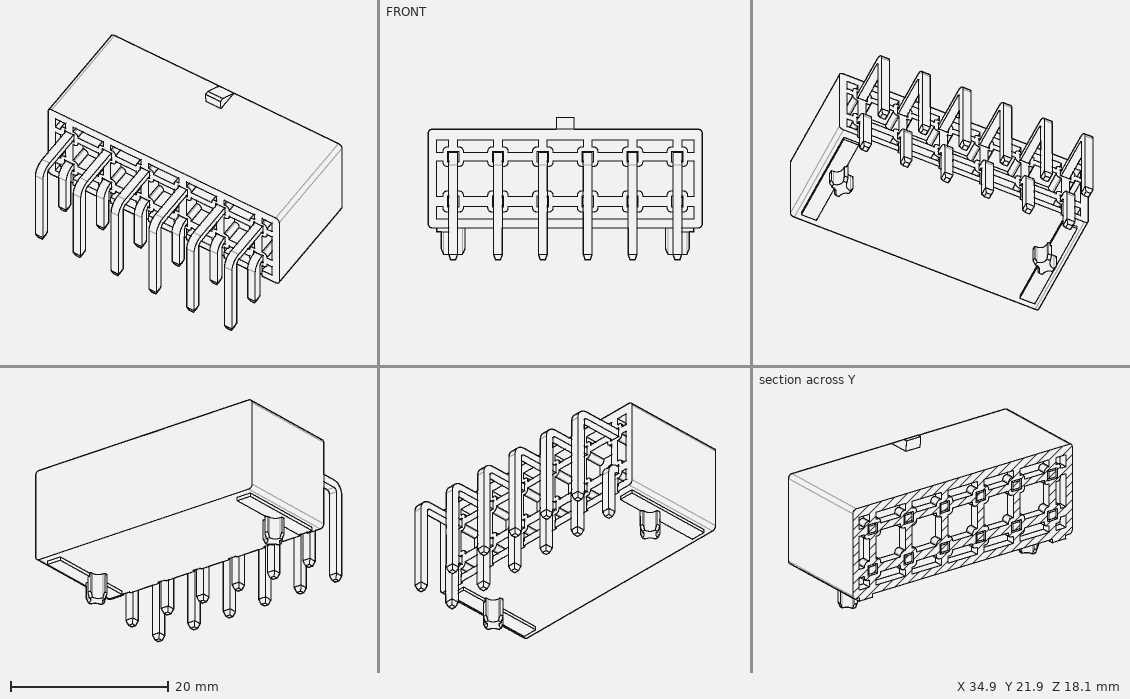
import cadquery as cq
import math

TOTAL_DEPTH = 21.94
TOTAL_HEIGHT = 18.13

BODY_WIDTH = 34.85
BODY_DEPTH = 14.85
BODY_HEIGHT = 12.58
BODY_CORNER_RADIUS = 0.55
BODY_CENTRE_Y = BODY_DEPTH / 2

PIN_COLUMNS = 6
PIN_PITCH = 5.7
PIN_WIDTH = 1.14
PIN_THICKNESS = 1.06
UPPER_ROW_Z = 9.07
LOWER_ROW_Z = 3.38
UPPER_PIN_REACH = TOTAL_DEPTH - BODY_DEPTH
LOWER_PIN_REACH = 1.6
PIN_BEND_RADIUS = 1.6
PIN_INNER_BEND_RADIUS = 0.45
PIN_ANCHOR_DEPTH = 4.0
PIN_TIP_LENGTH = 0.7
PIN_TIP_WIDTH = 0.65

LATCH_WIDTH = 2.25
LATCH_HEIGHT = 1.5
LATCH_RAMP_LENGTH = 2.64
LATCH_LENGTH = 3.23
LATCH_BASE_LENGTH = 3.1
LATCH_TOP_Z = BODY_HEIGHT + LATCH_HEIGHT
PIN_TIP_Z = LATCH_TOP_Z - TOTAL_HEIGHT

POCKET_DEPTH = 2.4
SIDE_WALL = 1.08
TOP_WALL = 1.38
BOTTOM_WALL = 1.14
WEB_THICKNESS = 1.12
UPPER_RAIL_HEIGHT = 1.04
LOWER_RAIL_HEIGHT = 1.27
BOSS_WIDTH = 2.6
BOSS_CORNER_RADIUS = 0.54
UPPER_BOSS_HEIGHT = 2.46
LOWER_BOSS_HEIGHT = 2.68
PIN_HOLE_WIDTH = 1.44
PIN_HOLE_HEIGHT = 1.36
RELIEF_DEPTH = 0.25

PAD_WIDTH = 2.1
PAD_LENGTH = 12.8
PAD_HEIGHT = 0.47
PEG_RADIUS = 1.53
PEG_ROOT_RADIUS = 1.2
PEG_LENGTH = 3.36
PEG_TAPER_LENGTH = 0.74
PEG_FIN_THICKNESS = 0.5
PEG_Y = 6.3

PIN_XS = [(i - (PIN_COLUMNS - 1) / 2) * PIN_PITCH for i in range(PIN_COLUMNS)]
ROWS = [
    (LOWER_ROW_Z, LOWER_RAIL_HEIGHT, LOWER_BOSS_HEIGHT),
    (UPPER_ROW_Z, UPPER_RAIL_HEIGHT, UPPER_BOSS_HEIGHT),
]


def box(x_range, y_range, z_range):
    """Box spanning the given (low, high) range on each axis."""
    size = [high - low for low, high in (x_range, y_range, z_range)]
    corner = (x_range[0], y_range[0], z_range[0])
    return cq.Workplane("XY").box(*size, centered=False).translate(corner)


def centred(middle, size):
    """Range of the given size around a middle value."""
    return (middle - size / 2, middle + size / 2)


def make_housing():
    housing = box(centred(0, BODY_WIDTH), (0, BODY_DEPTH), (0, BODY_HEIGHT))
    return housing.edges("|Y").fillet(BODY_CORNER_RADIUS)


def make_lattice():
    """Webs, rails and pin bosses left standing between the pockets."""
    depth = (0, POCKET_DEPTH)
    full_width = centred(0, BODY_WIDTH)
    lattice = cq.Workplane("XY")
    for x in PIN_XS:
        lattice = lattice.union(box(centred(x, WEB_THICKNESS), depth, (0, BODY_HEIGHT)))
    for z, rail_height, boss_height in ROWS:
        lattice = lattice.union(box(full_width, depth, centred(z, rail_height)))
        for x in PIN_XS:
            boss = box(centred(x, BOSS_WIDTH), depth, centred(z, boss_height))
            lattice = lattice.union(boss.edges("|Y").fillet(BOSS_CORNER_RADIUS))
    return lattice


def make_pockets():
    recess = box(
        centred(0, BODY_WIDTH - 2 * SIDE_WALL),
        (0, POCKET_DEPTH),
        (BOTTOM_WALL, BODY_HEIGHT - TOP_WALL),
    )
    pockets = recess.cut(make_lattice())
    for x in PIN_XS:
        for z in (LOWER_ROW_Z, UPPER_ROW_Z):
            hole = box(centred(x, PIN_HOLE_WIDTH), (0, POCKET_DEPTH), centred(z, PIN_HOLE_HEIGHT))
            pockets = pockets.union(hole)
    return pockets


def make_relief(x):
    """Wedge cut that slopes the web back below a lower pin boss."""
    boss_bottom = LOWER_ROW_Z - LOWER_BOSS_HEIGHT / 2
    profile = [(0, boss_bottom), (RELIEF_DEPTH, 0), (0, 0)]
    wedge = cq.Workplane("YZ").polyline(profile).close().extrude(WEB_THICKNESS / 2, both=True)
    return wedge.translate((x, 0, 0))


def make_pin(x, row_z, reach):
    """Pin leaving the housing horizontally, bent down and tapered at its tip."""
    top = row_z + PIN_THICKNESS / 2
    bottom = row_z - PIN_THICKNESS / 2
    outer_y = -reach
    inner_y = outer_y + PIN_WIDTH
    shoulder_z = PIN_TIP_Z + PIN_TIP_LENGTH
    diagonal = 1 - math.sqrt(0.5)
    outer_mid = PIN_BEND_RADIUS * diagonal
    inner_mid = PIN_INNER_BEND_RADIUS * diagonal
    bent = (
        cq.Workplane("YZ")
        .moveTo(PIN_ANCHOR_DEPTH, top)
        .lineTo(outer_y + PIN_BEND_RADIUS, top)
        .threePointArc((outer_y + outer_mid, top - outer_mid), (outer_y, top - PIN_BEND_RADIUS))
        .lineTo(outer_y, shoulder_z)
        .lineTo(inner_y, shoulder_z)
        .lineTo(inner_y, bottom - PIN_INNER_BEND_RADIUS)
        .threePointArc(
            (inner_y + inner_mid, bottom - inner_mid),
            (inner_y + PIN_INNER_BEND_RADIUS, bottom),
        )
        .lineTo(PIN_ANCHOR_DEPTH, bottom)
        .close()
        .extrude(PIN_WIDTH / 2, both=True)
    )
    tip = (
        cq.Workplane("XY")
        .rect(PIN_WIDTH, PIN_WIDTH)
        .workplane(offset=-PIN_TIP_LENGTH)
        .rect(PIN_TIP_WIDTH, PIN_TIP_WIDTH)
        .loft()
        .translate((0, outer_y + PIN_WIDTH / 2, shoulder_z))
    )
    return bent.union(tip).translate((x, 0, 0))


def make_latch():
    """Wedge that rises from the mating edge and ends in a slightly undercut catch."""
    profile = [
        (BODY_DEPTH, BODY_HEIGHT),
        (BODY_DEPTH - LATCH_RAMP_LENGTH, LATCH_TOP_Z),
        (BODY_DEPTH - LATCH_LENGTH, LATCH_TOP_Z),
        (BODY_DEPTH - LATCH_BASE_LENGTH, BODY_HEIGHT),
    ]
    return cq.Workplane("YZ").polyline(profile).close().extrude(LATCH_WIDTH / 2, both=True)


def make_peg(x):
    """Four-finned peg with a tapered end and concave flutes between the fins."""
    straight_length = PEG_LENGTH - PEG_TAPER_LENGTH
    peg = (
        cq.Workplane("XZ")
        .polyline([
            (0, 0),
            (PEG_RADIUS, 0),
            (PEG_RADIUS, -straight_length),
            (PEG_ROOT_RADIUS, -PEG_LENGTH),
            (0, -PEG_LENGTH),
        ])
        .close()
        .revolve(360, (0, 0, 0), (0, 1, 0))
    )
    flank = PEG_FIN_THICKNESS / 2
    flute_radius = PEG_ROOT_RADIUS - flank
    mid = PEG_ROOT_RADIUS - flute_radius * math.sqrt(0.5)
    clear = 2 * PEG_RADIUS
    flute = (
        cq.Workplane("XY")
        .moveTo(flank, clear)
        .lineTo(flank, PEG_ROOT_RADIUS)
        .threePointArc((mid, mid), (PEG_ROOT_RADIUS, flank))
        .lineTo(clear, flank)
        .lineTo(clear, clear)
        .close()
        .extrude(-PEG_LENGTH)
    )
    for quarter in range(4):
        peg = peg.cut(flute.rotate((0, 0, 0), (0, 0, 1), 90 * quarter))
    return peg.translate((x, PEG_Y, 0))


def make_pad(side):
    """Standoff pad under one end of the housing; side is -1 or +1."""
    centre_x = side * (BODY_WIDTH / 2 - SIDE_WALL - PAD_WIDTH / 2)
    return box(centred(centre_x, PAD_WIDTH), centred(BODY_CENTRE_Y, PAD_LENGTH), (-PAD_HEIGHT, 0))


result = make_housing().cut(make_pockets()).union(make_latch())
for pin_x in PIN_XS:
    result = result.cut(make_relief(pin_x))
    result = result.union(make_pin(pin_x, UPPER_ROW_Z, UPPER_PIN_REACH))
    result = result.union(make_pin(pin_x, LOWER_ROW_Z, LOWER_PIN_REACH))
for end in (-1, 1):
    result = result.union(make_pad(end))
    result = result.union(make_peg(PIN_XS[0] * end))